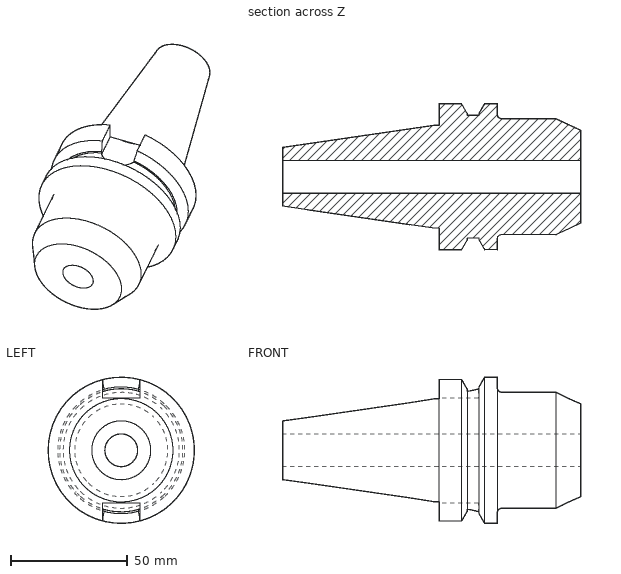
import cadquery as cq
import math


gauge_diameter = 44.45
taper_ratio = 7 / 24
taper_length = 65.4
gauge_blend_radius = 2.5
shank_start = -taper_length
small_end_diameter = gauge_diameter - taper_ratio * taper_length

flange_diameter = 63.0
flange_start = 2.0
flange_end = 27.0
groove_center = 16.6
groove_floor_width = 5.0
groove_floor_diameter = 53.0
groove_step_height = 0.8
groove_wall_angle = 30.0

nose_diameter = 50.0
nose_fillet = 2.0
nose_end = 63.0
nose_end_diameter = 40.0
nose_cone_angle = 25.0

slot_width = 16.0
slot_end = 19.0
slot_floor_height = 22.6
bore_diameter = 14.0


def make_body():
    """Revolve the half profile of shank, flange and nose about the X axis."""
    gauge_radius = gauge_diameter / 2
    taper_angle = math.atan(taper_ratio / 2)
    blend_center_radius = gauge_radius - gauge_blend_radius * math.cos(taper_angle)
    blend_end_x = gauge_blend_radius * math.sin(taper_angle)
    collar_radius = blend_center_radius + gauge_blend_radius
    blend_middle = (
        blend_end_x - gauge_blend_radius * math.sin(taper_angle / 2),
        blend_center_radius + gauge_blend_radius * math.cos(taper_angle / 2),
    )

    flange_radius = flange_diameter / 2
    floor_radius = groove_floor_diameter / 2
    nose_radius = nose_diameter / 2
    nose_end_radius = nose_end_diameter / 2

    floor_half = groove_floor_width / 2
    step_radius = floor_radius + groove_step_height
    wall_run = (flange_radius - step_radius) * math.tan(math.radians(groove_wall_angle))
    mouth_half = floor_half + wall_run
    cone_start = nose_end - (nose_radius - nose_end_radius) / math.tan(math.radians(nose_cone_angle))

    fillet_middle = (
        flange_end + nose_fillet * (1 - math.sqrt(0.5)),
        nose_radius + nose_fillet * (1 - math.sqrt(0.5)),
    )

    profile = (
        cq.Workplane("XY")
        .moveTo(shank_start, 0)
        .lineTo(shank_start, small_end_diameter / 2)
        .lineTo(0, gauge_radius)
        .threePointArc(blend_middle, (blend_end_x, collar_radius))
        .lineTo(flange_start, collar_radius)
        .lineTo(flange_start, flange_radius)
        .lineTo(groove_center - mouth_half, flange_radius)
        .lineTo(groove_center - floor_half, step_radius)
        .lineTo(groove_center - floor_half, floor_radius)
        .lineTo(groove_center + floor_half, floor_radius)
        .lineTo(groove_center + floor_half, step_radius)
        .lineTo(groove_center + mouth_half, flange_radius)
        .lineTo(flange_end, flange_radius)
        .lineTo(flange_end, nose_radius + nose_fillet)
        .threePointArc(fillet_middle, (flange_end + nose_fillet, nose_radius))
        .lineTo(cone_start, nose_radius)
        .lineTo(nose_end, nose_end_radius)
        .lineTo(nose_end, 0)
        .close()
    )
    return profile.revolve(360, (0, 0, 0), (1, 0, 0))


def make_drive_slot():
    """Round-ended cutter for the slot on the +Z side, open toward the shank."""
    end_radius = slot_width / 2
    arc_start = slot_end - end_radius
    return (
        cq.Workplane("XY")
        .workplane(offset=slot_floor_height)
        .moveTo(flange_start, -end_radius)
        .lineTo(arc_start, -end_radius)
        .threePointArc((slot_end, 0), (arc_start, end_radius))
        .lineTo(flange_start, end_radius)
        .close()
        .extrude(flange_diameter / 2 - slot_floor_height)
    )


def make_bore():
    """Cylinder that runs through the whole holder."""
    return (
        cq.Workplane("YZ")
        .workplane(offset=shank_start)
        .circle(bore_diameter / 2)
        .extrude(nose_end - shank_start)
    )


result = make_body().cut(make_bore())
for side_angle in (0, 180):
    result = result.cut(make_drive_slot().rotate((0, 0, 0), (1, 0, 0), side_angle))